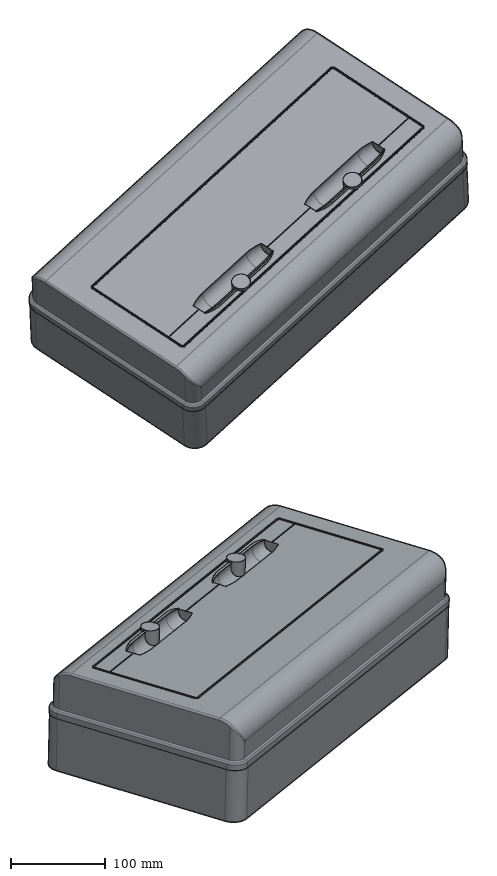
import cadquery as cq
import math

pitch = 2.4
yaw = 1.25

length = 450.0
width = 240.9
base_height = 63.1
base_corner_radius = 17.0
floor_edge_fillet = 1.5

rim_height = 8.2
rim_corner_radius = 16.0
rim_edge_fillet = 1.5
cover_inset = 4.2
cover_foot_fillet = 1.5
cover_wall_height = 47.5
cover_long_edge_radius = 25.0
cover_end_edge_fillet = 2.0

cover_width = width - 2 * cover_inset
cover_length = length - 2 * cover_inset
cover_corner_radius = rim_corner_radius - cover_inset
rim_top = base_height + rim_height
cover_top = rim_top + cover_wall_height
foot_search_margin = 0.1

flat_half_width = cover_width / 2 - cover_long_edge_radius
panel_left_margin = 41.5
panel_right_margin = 11.0
panel_left = -flat_half_width + panel_left_margin
panel_right = flat_half_width - panel_right_margin
panel_end_margin = 25.0
panel_length = cover_length - 2 * panel_end_margin
panel_groove_width = 2.0
panel_groove_depth = 2.0
panel_corner_radius = 3.0

slot_axis_margin = 32.6
slot_axis_x = flat_half_width - slot_axis_margin
score_size = 0.4
slot_spacing = 180.0
slot_length = 110.0
slot_straight_length = 71.0
slot_axis_depth = 3.0
slot_radius = 12.0
slot_end_radius = 8.5
lip_thickness = 2.5
lip_end_thickness = 1.0
lip_angle = 24.0
pin_radius = 10.0
pin_offset_x = 11.5
pin_rise = 3.5

full_turn = 360.0
slot_positions = [-slot_spacing / 2, slot_spacing / 2]


def rounded_block(size_x, size_y, corner_radius, bottom, top):
    """Upright block centred on Z with rounded vertical edges."""
    block = cq.Workplane("XY", origin=(0, 0, bottom)).rect(size_x, size_y).extrude(top - bottom)
    return block.edges("|Z").fillet(corner_radius)


def make_base():
    block = rounded_block(width, length, base_corner_radius, 0, base_height)
    return block.faces("<Z").edges().fillet(floor_edge_fillet)


def make_cover_shell():
    """Rim plus the raised cover, rounded along both long top edges."""
    rim = rounded_block(width, length, rim_corner_radius, base_height, rim_top)
    rim = rim.faces(">Z").edges().fillet(rim_edge_fillet)

    block = rounded_block(cover_width, cover_length, cover_corner_radius, base_height, cover_top)
    profile = (
        cq.Workplane("XY", origin=(0, 0, base_height))
        .rect(cover_width, cover_length)
        .extrude(cover_top - base_height)
        .faces(">Z")
        .edges("|Y")
        .fillet(cover_long_edge_radius)
    )
    raised = block.intersect(profile)
    raised = raised.faces(">Z").edges("|X").fillet(cover_end_edge_fillet)
    reach_x = cover_width / 2 + foot_search_margin
    reach_y = cover_length / 2 + foot_search_margin
    foot_edges = cq.selectors.BoxSelector(
        (-reach_x, -reach_y, rim_top - foot_search_margin),
        (reach_x, reach_y, rim_top + foot_search_margin),
        boundingbox=True,
    )
    return rim.union(raised).edges(foot_edges).fillet(cover_foot_fillet)


def make_panel_groove():
    """Rectangular ring that is cut into the cover top."""
    panel_width = panel_right - panel_left
    panel_centre_x = (panel_left + panel_right) / 2
    plane = cq.Workplane("XY", origin=(panel_centre_x, 0, cover_top - panel_groove_depth))
    outer = plane.rect(panel_width, panel_length).extrude(panel_groove_depth)
    outer = outer.edges("|Z").fillet(panel_corner_radius)
    inner_width = panel_width - 2 * panel_groove_width
    inner_length = panel_length - 2 * panel_groove_width
    return outer.cut(plane.rect(inner_width, inner_length).extrude(panel_groove_depth))


def bulged_bar(radius, end_radius, turn):
    """Round bar along Y, or a wedge of one, whose ends narrow along arcs tangent to its side.

    The turn is in degrees about the bar's axis, from +X and upwards.
    """
    half_length = slot_length / 2
    half_straight = slot_straight_length / 2
    run = half_length - half_straight
    drop = radius - end_radius
    arc_radius = (run**2 + drop**2) / (2 * drop)
    half_sweep = math.asin(run / arc_radius) / 2
    mid_x = radius - arc_radius * (1 - math.cos(half_sweep))
    mid_y = half_straight + arc_radius * math.sin(half_sweep)
    half_section = (
        cq.Workplane("XY")
        .moveTo(0, -half_length)
        .lineTo(end_radius, -half_length)
        .threePointArc((mid_x, -mid_y), (radius, -half_straight))
        .lineTo(radius, half_straight)
        .threePointArc((mid_x, mid_y), (end_radius, half_length))
        .lineTo(0, half_length)
        .close()
    )
    return half_section.revolve(turn, (0, 0, 0), (0, -1, 0))


def make_slot_cutter():
    return bulged_bar(slot_radius, slot_end_radius, full_turn)


def make_lip():
    """Wedge of a bulged shell that stands up beside a slot."""
    outer_radius = slot_radius + lip_thickness
    outer_end_radius = slot_end_radius + lip_end_thickness
    return bulged_bar(outer_radius, outer_end_radius, lip_angle).cut(make_slot_cutter())


def make_pin():
    """Upright pin, from the depth of the slot floor to above the cover top."""
    pin_length = slot_radius + slot_axis_depth + pin_rise
    foot = cq.Workplane("XY", origin=(pin_offset_x, 0, -slot_radius))
    return foot.circle(pin_radius).extrude(pin_length)


def make_score():
    """Fine straight score along the panel, in line with both slots."""
    score_bottom = cover_top - score_size
    plane = cq.Workplane("XY", origin=(slot_axis_x, 0, score_bottom))
    return plane.rect(score_size, panel_length - 2 * panel_groove_width).extrude(score_size)


def make_cover():
    cover = make_cover_shell().cut(make_panel_groove()).cut(make_score())
    for y in slot_positions:
        place = (slot_axis_x, y, cover_top - slot_axis_depth)
        cover = cover.cut(make_slot_cutter().translate(place))
        cover = cover.union(make_lip().translate(place))
        cover = cover.union(make_pin().translate(place))
    return cover


def set_attitude(body):
    leaned = body.rotate((0, 0, 0), (1, 0, 0), pitch)
    return leaned.rotate((0, 0, 0), (0, 0, 1), yaw)


base = set_attitude(make_base())
cover = set_attitude(make_cover())

result = cq.Compound.makeCompound([base.val(), cover.val()])